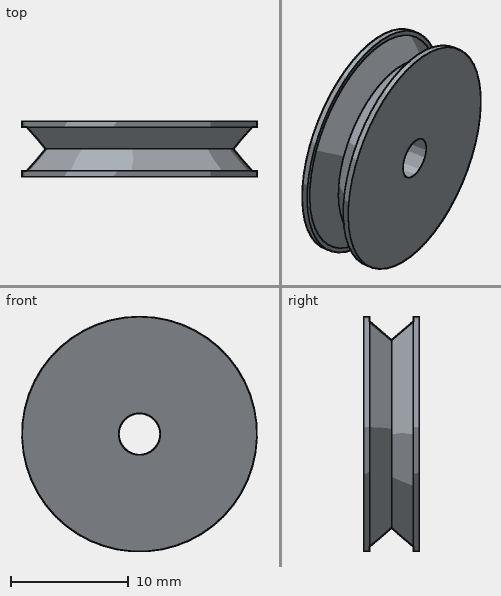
import cadquery as cq

outer_diameter = 20.0
width = 4.75
bore_diameter = 3.5
rim_width = 0.52
groove_mouth_diameter = 19.2
groove_root_diameter = 16.0

outer_radius = outer_diameter / 2
bore_radius = bore_diameter / 2
mouth_radius = groove_mouth_diameter / 2
root_radius = groove_root_diameter / 2
half_width = width / 2
rim_inner_y = half_width - rim_width

section = (
    cq.Workplane("YZ")
    .moveTo(-half_width, bore_radius)
    .lineTo(-half_width, outer_radius)
    .lineTo(-rim_inner_y, outer_radius)
    .lineTo(-rim_inner_y, mouth_radius)
    .lineTo(0, root_radius)
    .lineTo(rim_inner_y, mouth_radius)
    .lineTo(rim_inner_y, outer_radius)
    .lineTo(half_width, outer_radius)
    .lineTo(half_width, bore_radius)
    .close()
)

result = section.revolve(360, (0, 0, 0), (1, 0, 0))